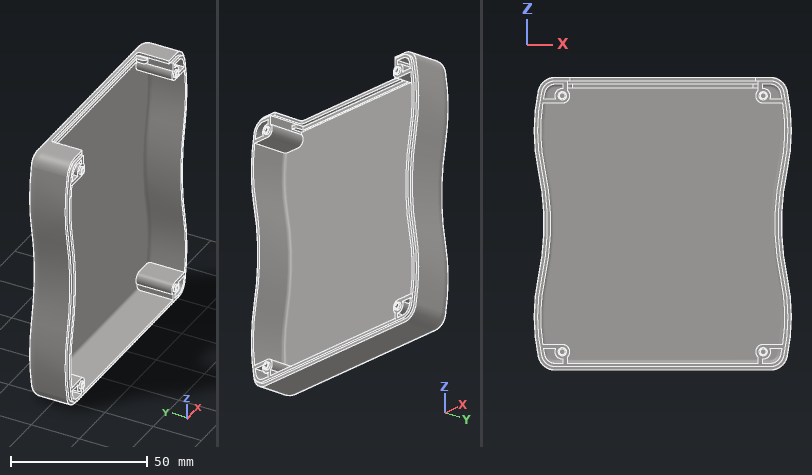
import cadquery as cq
import math

height = 107.3
body_depth = 16.3
lip_height = 1.1
pin_height = 0.8

waist_half_width = 43.6
waist_radius = 94.4
waist_end_z = 19.6
bulge_end_z = 48.6

back_round = 3.9
wall = 2.5
embed_depth = wall / 2
lip_step = 1.3
front_depth = body_depth + lip_height
pin_depth = front_depth + pin_height

boss_x = 36.8
boss_z = 46.9
boss_radius = 2.7
web = 1.5
web_x = 35.0
pin_radius = 1.5
pin_hole_radius = 1.1
pin_hole_depth = 8.6

opening_half_width = 33.9
sill_depth = 3.3
groove_depth = 1.6
rail_half_width = 33.0
rail_end_depth = 7.0
slot_round = 1.2


def case_outline():
    """Closed outline of the case: wavy sides, flat ends, rounded corners."""
    half_height = height / 2
    tilt = math.asin(waist_end_z / waist_radius)
    bulge_z = (waist_end_z + bulge_end_z) / 2
    bulge_radius = (bulge_end_z - bulge_z) / math.sin(tilt)
    waist_end_x = waist_half_width + waist_radius * (1 - math.cos(tilt))
    bulge_x = waist_end_x + bulge_radius * (1 - math.cos(tilt))
    corner_radius = (half_height - bulge_end_z) / (1 - math.sin(tilt))
    corner_x = waist_end_x - corner_radius * math.cos(tilt)
    corner_z = half_height - corner_radius
    mid_angle = (tilt + math.pi / 2) / 2
    corner_mid_x = corner_x + corner_radius * math.cos(mid_angle)
    corner_mid_z = corner_z + corner_radius * math.sin(mid_angle)
    return (
        cq.Workplane("XZ")
        .moveTo(-corner_x, -half_height)
        .lineTo(corner_x, -half_height)
        .threePointArc((corner_mid_x, -corner_mid_z), (waist_end_x, -bulge_end_z))
        .threePointArc((bulge_x, -bulge_z), (waist_end_x, -waist_end_z))
        .threePointArc((waist_half_width, 0), (waist_end_x, waist_end_z))
        .threePointArc((bulge_x, bulge_z), (waist_end_x, bulge_end_z))
        .threePointArc((corner_mid_x, corner_mid_z), (corner_x, half_height))
        .lineTo(-corner_x, half_height)
        .threePointArc((-corner_mid_x, corner_mid_z), (-waist_end_x, bulge_end_z))
        .threePointArc((-bulge_x, bulge_z), (-waist_end_x, waist_end_z))
        .threePointArc((-waist_half_width, 0), (-waist_end_x, -waist_end_z))
        .threePointArc((-bulge_x, -bulge_z), (-waist_end_x, -bulge_end_z))
        .threePointArc((-corner_mid_x, -corner_mid_z), (-corner_x, -half_height))
        .close()
    )


def block(x_range, depth_range, z_range):
    """Box between two X, two depth (measured from the back) and two Z values."""
    x0, x1 = x_range
    d0, d1 = depth_range
    z0, z1 = z_range
    return cq.Workplane("XY").box(x1 - x0, d1 - d0, z1 - z0, centered=False).translate((x0, -d1, z0))


def cylinder(x, z, radius, start_depth, end_depth):
    """Round bar along Y between two depths measured from the back."""
    plane = cq.Workplane("XZ", origin=(x, -start_depth, z))
    return plane.circle(radius).extrude(end_depth - start_depth)


def cavity():
    """Inside space of the case, rounded where it meets the floor."""
    space = case_outline().offset2D(-wall).extrude(pin_depth)
    space = space.faces(">Y").edges().fillet(back_round - wall)
    return space.translate((0, -wall, 0))


def shell(inside):
    """Open tray with a raised lip along the inner half of its rim."""
    body = case_outline().extrude(body_depth).faces(">Y").edges().fillet(back_round)
    lip = case_outline().offset2D(-lip_step).extrude(lip_height).translate((0, -body_depth, 0))
    return body.union(lip).cut(inside)


def corner_boss(side, end, inside):
    """Round boss joined to the side and end walls by two thin webs."""
    x = side * boss_x
    z = end * boss_z
    depths = (embed_depth, front_depth)
    web_z = boss_z - boss_radius
    level_web = block((boss_x, height / 2), depths, (web_z, web_z + web))
    upright_web = block((web_x, web_x + web), depths, (boss_z, height / 2))
    webs = level_web.union(upright_web)
    if side < 0:
        webs = webs.mirror("YZ")
    if end < 0:
        webs = webs.mirror("XY")
    return webs.intersect(inside).union(cylinder(x, z, boss_radius, embed_depth, front_depth))


def slot_layer(half_width, start_depth, outer_offset, inner_offset):
    """Round-cornered space of one layer of the slot, between two offsets from the top face."""
    z_range = (height / 2 - inner_offset, height / 2 - outer_offset)
    layer = block((-half_width, half_width), (start_depth, pin_depth), z_range)
    return layer.edges("|Z and >Y").fillet(slot_round)


def sill_clearance():
    """Space over the sill behind the panel, free of the rounding of the cavity."""
    z_range = (height / 2 - back_round, height / 2 - lip_step)
    return block((-web_x, web_x), (sill_depth, pin_depth), z_range)


def inner_sill():
    """Sill behind the panel, with a short round-tipped rail up the web at each end."""
    z_range = (height / 2 - back_round, height / 2 - wall)
    sill = block((-web_x, web_x), (embed_depth, sill_depth), z_range)
    rail = block((rail_half_width, web_x), (embed_depth, rail_end_depth), z_range)
    rail = rail.edges("|Z").edges("<Y").edges("<X").fillet(slot_round)
    return sill.union(rail).union(rail.mirror("YZ"))


inside = cavity()
result = shell(inside)
corners = [(side, end) for side in (-1, 1) for end in (-1, 1)]
for side, end in corners:
    result = result.union(corner_boss(side, end, inside))

result = result.cut(slot_layer(opening_half_width, sill_depth, 0, lip_step))
result = result.cut(slot_layer(web_x, groove_depth, lip_step, wall))
result = result.cut(sill_clearance())
result = result.union(inner_sill())

for side, end in corners:
    x = side * boss_x
    z = end * boss_z
    result = result.union(cylinder(x, z, pin_radius, front_depth, pin_depth))
    result = result.cut(cylinder(x, z, pin_hole_radius, pin_depth - pin_hole_depth, pin_depth))